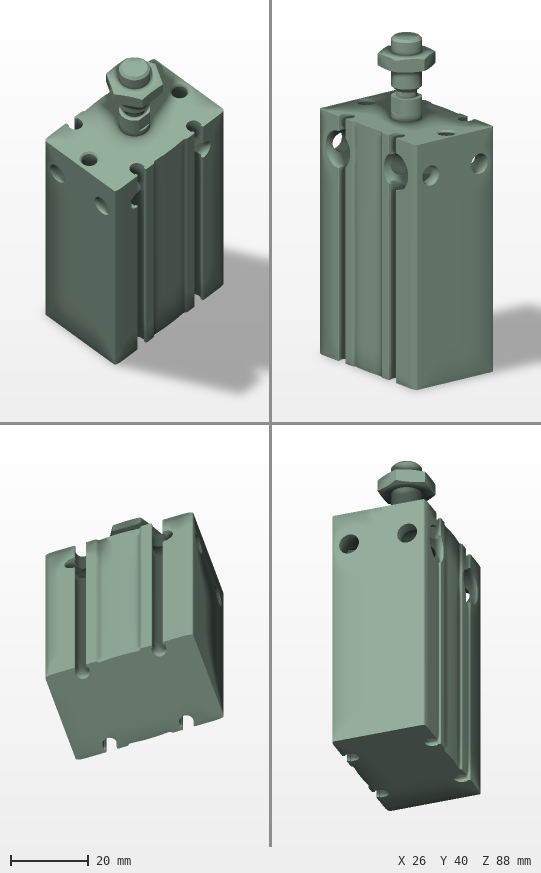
import cadquery as cq
import math


WIDTH = 26.0
DEPTH = 40.0
HOUSING_HEIGHT = 66.0
HALF_WIDTH = WIDTH / 2
HALF_DEPTH = DEPTH / 2
CORNER_DROP = 0.35
CORNER_LENGTH = 2.3
CORNER_FILLET = 0.5
CHANNEL_HALF_WIDTH = 6.2
CHANNEL_DROP = 0.5
CHANNEL_SLOPE_ANGLE = 35
CHANNEL_LIP_FILLET = 0.4
CHANNEL_ROOT_FILLET = 0.9
BULGE_RISE = 0.3

SLOT_OFFSET = 10.4
SLOT_DIAMETER = 3.8
SLOT_AXIS_DEPTH = 1.9
SLOT_NECK_WIDTH = 2.9
SLOT_MOUTH_CHAMFER = 0.2
SLOT_LIP_THICKNESS = 0.9

CROSS_HOLE_DROP = 9.1
CROSS_HOLE_Z = HOUSING_HEIGHT - CROSS_HOLE_DROP
CROSS_HOLE_DIAMETER = 5.5
COUNTERBORE_DIAMETER = 10.0
COUNTERBORE_DEPTH = 10.0
SIDE_HOLE_OFFSET = 12.0
FRONT_HOLE_OFFSET = 8.0

TAPPED_HOLE_OFFSET = 16.5
TAPPED_HOLE_DIAMETER = 4.1
TAPPED_HOLE_MOUTH = 5.0
TAPPED_HOLE_DEPTH = 10.6
DRILL_POINT_ANGLE = 118

ROD_TOP = 88.0
ROD_DIAMETER = 8.0
ROD_TIP_DIAMETER = 6.7
NECK_DIAMETER = 5.4
SHOULDER_Z = 72.0
NECK_LENGTH = 1.6
THREAD_LENGTH = 13.2
FLAT_BOTTOM_Z = 67.85
FLAT_WIDTH = 7.0

NUT_ACROSS_FLATS = 13.0
NUT_THICKNESS = 4.0
NUT_BOTTOM_Z = 80.0
NUT_FACE_DIAMETER = 11.6
NUT_CHAMFER_ANGLE = 15
HEXAGON_HALF_ANGLE = 30


def make_profile():
    """Extrusion of the housing outline, before slots and holes.

    Each wide side bows in towards its corners and has a shallow central channel with a bulged floor.
    """
    corner_x = HALF_WIDTH - CORNER_DROP
    corner_start_y = HALF_DEPTH - CORNER_LENGTH
    corner_radius = (CORNER_LENGTH**2 + CORNER_DROP**2) / (2 * CORNER_DROP)
    root_x = HALF_WIDTH - CHANNEL_DROP
    root_y = CHANNEL_HALF_WIDTH - CHANNEL_DROP / math.tan(math.radians(CHANNEL_SLOPE_ANGLE))
    block = (
        cq.Workplane("XY")
        .moveTo(0, -HALF_DEPTH)
        .lineTo(corner_x, -HALF_DEPTH)
        .radiusArc((HALF_WIDTH, -corner_start_y), -corner_radius)
        .lineTo(HALF_WIDTH, -CHANNEL_HALF_WIDTH)
        .lineTo(root_x, -root_y)
        .threePointArc((root_x + BULGE_RISE, 0), (root_x, root_y))
        .lineTo(HALF_WIDTH, CHANNEL_HALF_WIDTH)
        .lineTo(HALF_WIDTH, corner_start_y)
        .radiusArc((corner_x, HALF_DEPTH), -corner_radius)
        .lineTo(0, HALF_DEPTH)
        .mirrorY()
        .extrude(HOUSING_HEIGHT)
    )
    block = fillet_upright_edges(block, corner_x, HALF_DEPTH, CORNER_FILLET)
    block = fillet_upright_edges(block, HALF_WIDTH, CHANNEL_HALF_WIDTH, CHANNEL_LIP_FILLET)
    return fillet_upright_edges(block, root_x, root_y, CHANNEL_ROOT_FILLET)


def fillet_upright_edges(body, x, y, radius):
    """Round the four full-height edges at (+-x, +-y)."""
    for edge_x in (-x, x):
        for edge_y in (-y, y):
            edge_middle = (edge_x, edge_y, HOUSING_HEIGHT / 2)
            body = body.edges(cq.NearestToPointSelector(edge_middle)).fillet(radius)
    return body


def make_sensor_slot(side, y):
    """Cutter for one round-bottomed slot behind thin lips, open to +X (side 1) or -X (side -1)."""
    axis_x = side * (HALF_WIDTH - SLOT_AXIS_DEPTH)
    face_x = side * HALF_WIDTH
    lip_x = side * (HALF_WIDTH - SLOT_MOUTH_CHAMFER)
    neck = SLOT_NECK_WIDTH / 2
    mouth = neck + SLOT_MOUTH_CHAMFER
    bore = cq.Workplane("XY").center(axis_x, y).circle(SLOT_DIAMETER / 2).extrude(HOUSING_HEIGHT)
    throat = (
        cq.Workplane("XY")
        .polyline([
            (axis_x, y - neck),
            (lip_x, y - neck),
            (face_x, y - mouth),
            (face_x, y + mouth),
            (lip_x, y + neck),
            (axis_x, y + neck),
        ])
        .close()
        .extrude(HOUSING_HEIGHT)
    )
    straight_length = SLOT_AXIS_DEPTH - SLOT_LIP_THICKNESS
    straight_part = (
        cq.Workplane("XY")
        .center(axis_x + side * straight_length / 2, y)
        .rect(straight_length, SLOT_DIAMETER)
        .extrude(HOUSING_HEIGHT)
    )
    return bore.union(straight_part).union(throat)


def make_side_hole(y):
    """Cutter for one through hole along X, counterbored from the -X face."""
    plane = cq.Workplane("YZ", origin=(-HALF_WIDTH, y, CROSS_HOLE_Z))
    hole = plane.circle(CROSS_HOLE_DIAMETER / 2).extrude(WIDTH)
    counterbore = plane.circle(COUNTERBORE_DIAMETER / 2).extrude(COUNTERBORE_DEPTH)
    return hole.union(counterbore)


def make_front_hole(x):
    """Cutter for one plain through hole along Y."""
    plane = cq.Workplane("XZ", origin=(x, HALF_DEPTH, CROSS_HOLE_Z))
    return plane.circle(CROSS_HOLE_DIAMETER / 2).extrude(DEPTH)


def make_tapped_hole(y):
    """Cutter for one blind hole in the top face, with a chamfered mouth and a drill point."""
    radius = TAPPED_HOLE_DIAMETER / 2
    mouth_radius = TAPPED_HOLE_MOUTH / 2
    point_length = radius / math.tan(math.radians(DRILL_POINT_ANGLE / 2))
    half_section = (
        cq.Workplane("XZ")
        .polyline([
            (0, 0),
            (mouth_radius, 0),
            (radius, radius - mouth_radius),
            (radius, -TAPPED_HOLE_DEPTH),
            (0, -TAPPED_HOLE_DEPTH - point_length),
        ])
        .close()
    )
    return half_section.revolve(360, (0, 0), (0, 1)).translate((0, y, HOUSING_HEIGHT))


def make_housing():
    body = make_profile()
    for side in (-1, 1):
        for end in (-1, 1):
            body = body.cut(make_sensor_slot(side, end * SLOT_OFFSET))
    for end in (-1, 1):
        body = body.cut(make_side_hole(end * SIDE_HOLE_OFFSET))
        body = body.cut(make_front_hole(end * FRONT_HOLE_OFFSET))
        body = body.cut(make_tapped_hole(end * TAPPED_HOLE_OFFSET))
    return body


def make_rod():
    """Stepped rod standing on the housing, with two wrench flats facing +X and -X."""
    radius = ROD_DIAMETER / 2
    tip_radius = ROD_TIP_DIAMETER / 2
    neck_radius = NECK_DIAMETER / 2
    rod = (
        cq.Workplane("XZ")
        .polyline([
            (0, HOUSING_HEIGHT),
            (radius, HOUSING_HEIGHT),
            (radius, SHOULDER_Z),
            (neck_radius, SHOULDER_Z),
            (neck_radius, SHOULDER_Z + NECK_LENGTH),
            (radius, ROD_TOP - THREAD_LENGTH),
            (radius, ROD_TOP - (radius - tip_radius)),
            (tip_radius, ROD_TOP),
            (0, ROD_TOP),
        ])
        .close()
        .revolve(360, (0, 0), (0, 1))
    )
    flat_height = SHOULDER_Z - FLAT_BOTTOM_Z
    for side in (-1, 1):
        cutter_x = side * (FLAT_WIDTH + ROD_DIAMETER) / 2
        cutter = (
            cq.Workplane("XY", origin=(cutter_x, 0, FLAT_BOTTOM_Z))
            .rect(ROD_DIAMETER, ROD_DIAMETER)
            .extrude(flat_height)
        )
        rod = rod.cut(cutter)
    return rod


def make_nut():
    """Hexagon nut with flats facing +X and -X and conical chamfers on both end faces."""
    corner_radius = NUT_ACROSS_FLATS / 2 / math.cos(math.radians(HEXAGON_HALF_ANGLE))
    face_radius = NUT_FACE_DIAMETER / 2
    chamfer_height = (corner_radius - face_radius) * math.tan(math.radians(NUT_CHAMFER_ANGLE))
    hexagon = (
        cq.Workplane("XY")
        .polygon(6, 2 * corner_radius)
        .extrude(NUT_THICKNESS)
        .rotate((0, 0, 0), (0, 0, 1), HEXAGON_HALF_ANGLE)
    )
    chamfer_envelope = (
        cq.Workplane("XZ")
        .polyline([
            (0, 0),
            (face_radius, 0),
            (corner_radius, chamfer_height),
            (corner_radius, NUT_THICKNESS - chamfer_height),
            (face_radius, NUT_THICKNESS),
            (0, NUT_THICKNESS),
        ])
        .close()
        .revolve(360, (0, 0), (0, 1))
    )
    bore = cq.Workplane("XY").circle(ROD_DIAMETER / 2).extrude(NUT_THICKNESS)
    return hexagon.intersect(chamfer_envelope).cut(bore).translate((0, 0, NUT_BOTTOM_Z))


housing = make_housing()
rod = make_rod()
nut = make_nut()

result = cq.Compound.makeCompound([housing.val(), rod.val(), nut.val()])